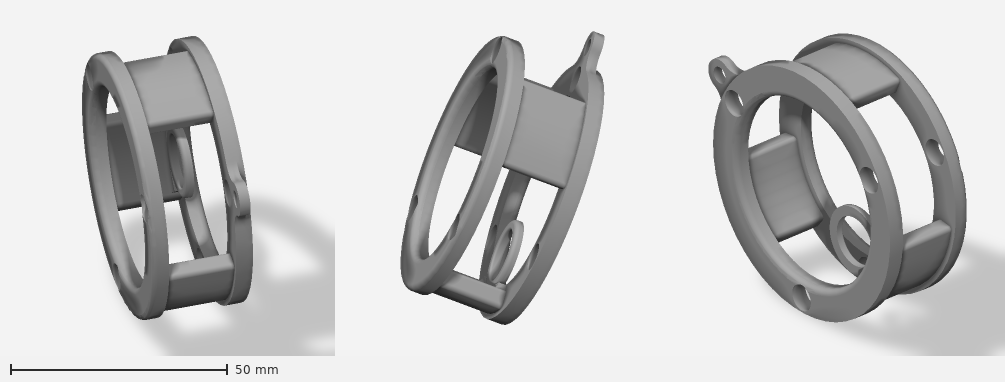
import cadquery as cq
import math

ring_outer_radius = 62.5 / 2
ring_inner_radius = 47.0 / 2
ring_thickness = 4.0
total_depth = 24.0
front_outer_fillet = 1.25
front_inner_fillet = 1.5
rear_inner_fillet = 1.5

bolt_hole_diameter = 6.55
bolt_circle_radius = 27.5
bolt_angles = (30, 150, 270)

wall_outer_radius = 30.0
wall_inner_radius = 25.25
wall_half_angle = 23.1
wall_corner_fillet = 1.0
wall_angles = (90, 210, 330)

eyelet_outer_radius = 17.5 / 2
eyelet_hole_radius = 12.5 / 2
eyelet_offset = 16.2
eyelet_angle = 210
eyelet_thickness = 2.0
eyelet_outer_fillet = 1.0
eyelet_hole_fillet = 0.5

pad_blend_radius = 1.0
pad_inner_radius = 23.75
pad_end_inset = 1.2

lug_radius = 4.0
lug_hole_diameter = 4.17
lug_angle = 30
lug_thickness = 2.5
lug_reach = 65.94 - ring_outer_radius
lug_offset = (lug_reach - lug_radius) / math.cos(math.radians(lug_angle))
lug_neck_radius = 5.0

rear_ring_front = total_depth - ring_thickness
eyelet_front = rear_ring_front - eyelet_thickness
wall_length = total_depth - 2 * ring_thickness

smallest_circle = cq.selectors.RadiusNthSelector(0)
largest_circle = cq.selectors.RadiusNthSelector(-1)


def polar(radius, angle):
    """Point (x, z) at a radius and an angle in degrees from +X toward +Z."""
    return (radius * math.cos(math.radians(angle)), radius * math.sin(math.radians(angle)))


def toward(start, end, distance):
    """Point at a distance from start on the line to end."""
    share = distance / math.dist(start, end)
    return tuple(a + (b - a) * share for a, b in zip(start, end))


def plane_at(y):
    """Sketch plane at depth y, with local x = X, local y = Z and extrusion toward +Y for negative lengths."""
    return cq.Workplane("XZ", origin=(0, y, 0))


def disc(radius, y, length, center=(0, 0)):
    return plane_at(y).center(*center).circle(radius).extrude(-length)


def make_ring(y):
    return disc(ring_outer_radius, y, ring_thickness).cut(disc(ring_inner_radius, y, ring_thickness))


def make_front_ring():
    ring = make_ring(0)
    ring = ring.faces("<Y").edges(smallest_circle).fillet(front_inner_fillet)
    return ring.faces("<Y").edges(largest_circle).fillet(front_outer_fillet)


def make_rear_ring():
    return make_ring(rear_ring_front).faces(">Y").edges(smallest_circle).fillet(rear_inner_fillet)


def make_wall(angle):
    start = angle - wall_half_angle
    end = angle + wall_half_angle
    return (
        plane_at(ring_thickness)
        .moveTo(*polar(wall_inner_radius, start))
        .lineTo(*polar(wall_outer_radius, start))
        .threePointArc(polar(wall_outer_radius, angle), polar(wall_outer_radius, end))
        .lineTo(*polar(wall_inner_radius, end))
        .threePointArc(polar(wall_inner_radius, angle), polar(wall_inner_radius, start))
        .close()
        .extrude(-wall_length)
        .edges("|Y")
        .fillet(wall_corner_fillet)
    )


def make_eyelet():
    """Flat eyelet with both rims of its front face rounded."""
    center = polar(eyelet_offset, eyelet_angle)
    body = disc(eyelet_outer_radius, eyelet_front, eyelet_thickness, center)
    body = body.cut(disc(eyelet_hole_radius, eyelet_front, eyelet_thickness, center))
    body = body.faces("<Y").edges(smallest_circle).fillet(eyelet_hole_fillet)
    return body.faces("<Y").edges(largest_circle).fillet(eyelet_outer_fillet)


def make_pad():
    """Arc-shaped pad from just outside the ring opening to the wall, with a concave blend up the wall face."""
    blend_start = wall_inner_radius - pad_blend_radius
    blend_end = eyelet_front - pad_blend_radius
    blend_leg = pad_blend_radius * math.sqrt(0.5)
    root_radius = (wall_inner_radius + wall_outer_radius) / 2
    half_angle = wall_half_angle - math.degrees(pad_end_inset / wall_inner_radius)
    profile = (
        cq.Workplane("XY")
        .moveTo(pad_inner_radius, rear_ring_front)
        .lineTo(pad_inner_radius, eyelet_front)
        .lineTo(blend_start, eyelet_front)
        .threePointArc((blend_start + blend_leg, blend_end + blend_leg), (wall_inner_radius, blend_end))
        .lineTo(root_radius, blend_end)
        .lineTo(root_radius, rear_ring_front)
        .close()
    )
    pad = profile.revolve(2 * half_angle, (0, 0, 0), (0, 1, 0))
    return pad.rotate((0, 0, 0), (0, 1, 0), -(eyelet_angle + half_angle))


def make_lug():
    """Round lug blended into the ring rim by two concave arcs, each tangent to lug and rim."""
    center = polar(lug_offset, lug_angle)
    rim_to_neck = ring_outer_radius + lug_neck_radius
    lug_to_neck = lug_radius + lug_neck_radius
    neck_spread = math.degrees(
        math.acos((rim_to_neck**2 + lug_offset**2 - lug_to_neck**2) / (2 * rim_to_neck * lug_offset))
    )

    def neck(side):
        """Rim tangent point, arc midpoint and lug tangent point of one neck arc."""
        neck_center = polar(rim_to_neck, lug_angle + side * neck_spread)
        rim_point = toward(neck_center, (0, 0), lug_neck_radius)
        lug_point = toward(neck_center, center, lug_neck_radius)
        chord_middle = toward(rim_point, lug_point, math.dist(rim_point, lug_point) / 2)
        return rim_point, toward(neck_center, chord_middle, lug_neck_radius), lug_point

    lower_rim, lower_middle, lower_lug = neck(-1)
    upper_rim, upper_middle, upper_lug = neck(1)
    return (
        plane_at(rear_ring_front)
        .moveTo(*polar(bolt_circle_radius, lug_angle))
        .lineTo(*lower_rim)
        .threePointArc(lower_middle, lower_lug)
        .threePointArc(polar(lug_offset + lug_radius, lug_angle), upper_lug)
        .threePointArc(upper_middle, upper_rim)
        .close()
        .extrude(-lug_thickness)
        .cut(disc(lug_hole_diameter / 2, rear_ring_front, lug_thickness, center))
    )


def make_bolt_holes():
    centers = [polar(bolt_circle_radius, angle) for angle in bolt_angles]
    return plane_at(0).pushPoints(centers).circle(bolt_hole_diameter / 2).extrude(-total_depth)


result = make_front_ring().union(make_rear_ring())
for wall_angle in wall_angles:
    result = result.union(make_wall(wall_angle))
result = result.union(make_eyelet()).union(make_pad()).union(make_lug()).cut(make_bolt_holes())